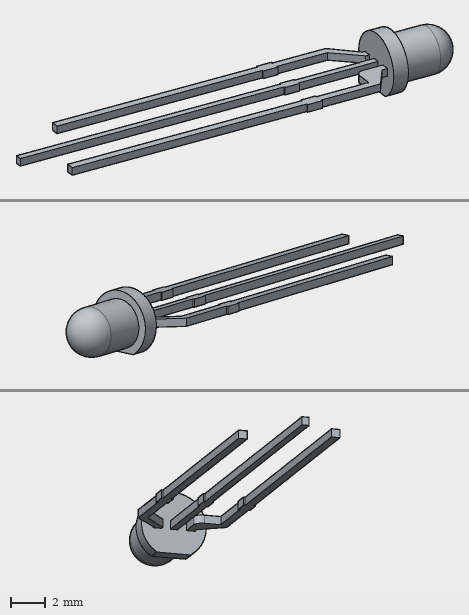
import cadquery as cq

lens_radius = 1.5
lens_length = 5.0
flange_radius = 2.0
flange_thickness = 1.0
flat_distance = 1.7

lead_thickness = 0.5
lead_pitch = 2.53
outer_width = 0.53
middle_width = 0.45
outer_collar_width = 0.74
middle_collar_width = 0.62
collar_start = 5.4
collar_length = 1.0
left_length = 20.4
middle_length = 24.4
right_length = 22.4

root_offset = 1.03
left_outer_bend_start = 0.18
left_inner_bend_start = 0.25
left_outer_bend_end = 1.75
left_inner_bend_end = 1.97
right_slope_start = 0.38
right_slope_end = 1.38
right_step = 1.88
right_corner_radius = 0.5

root_inner = root_offset - outer_width / 2
root_outer = root_offset + outer_width / 2
straight_inner = lead_pitch - outer_width / 2
straight_outer = lead_pitch + outer_width / 2


def make_lens():
    """Domed cylinder with a flange that is cut flat on the -Z side."""
    dome_start = lens_length - lens_radius
    dome_middle = lens_radius * 0.5 ** 0.5
    body = (
        cq.Workplane("XY")
        .lineTo(flange_radius, 0)
        .lineTo(flange_radius, flange_thickness)
        .lineTo(lens_radius, flange_thickness)
        .lineTo(lens_radius, dome_start)
        .threePointArc((dome_middle, dome_start + dome_middle), (0, lens_length))
        .close()
        .revolve(360, (0, 0), (0, 1))
    )
    below_flat = cq.Workplane("XY").box(
        2 * flange_radius, lens_length, flange_radius, centered=(True, False, False)
    ).translate((0, 0, -flat_distance - flange_radius))
    return body.cut(below_flat)


def extrude_strip(outline):
    """Extrude an XY outline to the lead thickness, centred on Z = 0."""
    return outline.extrude(lead_thickness / 2, both=True)


def straight_strip(center_x, width, start, length):
    """Straight strip running toward -Y from a distance below the base face."""
    center_y = -start - length / 2
    return extrude_strip(cq.Workplane("XY").center(center_x, center_y).rect(width, length))


def make_collar(center_x, width):
    """Widened stretch that is part of a lead."""
    return straight_strip(center_x, width, collar_start, collar_length)


def make_middle_lead():
    """Straight lead on the lens axis."""
    strip = straight_strip(0, middle_width, 0, middle_length)
    return strip.union(make_collar(0, middle_collar_width))


def make_left_lead():
    """Shortest lead, cranked outward toward -X."""
    outline = cq.Workplane("XY").polyline([
        (-root_inner, 0),
        (-root_inner, -left_inner_bend_start),
        (-straight_inner, -left_inner_bend_end),
        (-straight_inner, -left_length),
        (-straight_outer, -left_length),
        (-straight_outer, -left_outer_bend_end),
        (-root_outer, -left_outer_bend_start),
        (-root_outer, 0),
    ]).close()
    return extrude_strip(outline).union(make_collar(-lead_pitch, outer_collar_width))


def make_right_lead():
    """Lead toward +X with a wide shoulder and one rounded shoulder corner."""
    outline = cq.Workplane("XY").polyline([
        (root_inner, 0),
        (root_inner, -right_step),
        (straight_inner, -right_step),
        (straight_inner, -right_length),
        (straight_outer, -right_length),
        (straight_outer, -right_slope_end),
        (root_outer, -right_slope_start),
        (root_outer, 0),
    ]).close()
    shoulder_corner = cq.selectors.NearestToPointSelector((root_inner, -right_step, 0))
    strip = extrude_strip(outline).edges("|Z").edges(shoulder_corner).fillet(right_corner_radius)
    return strip.union(make_collar(lead_pitch, outer_collar_width))


lens = make_lens()
left_lead = make_left_lead()
middle_lead = make_middle_lead()
right_lead = make_right_lead()

result = cq.Compound.makeCompound([
    lens.val(),
    left_lead.val(),
    middle_lead.val(),
    right_lead.val(),
])